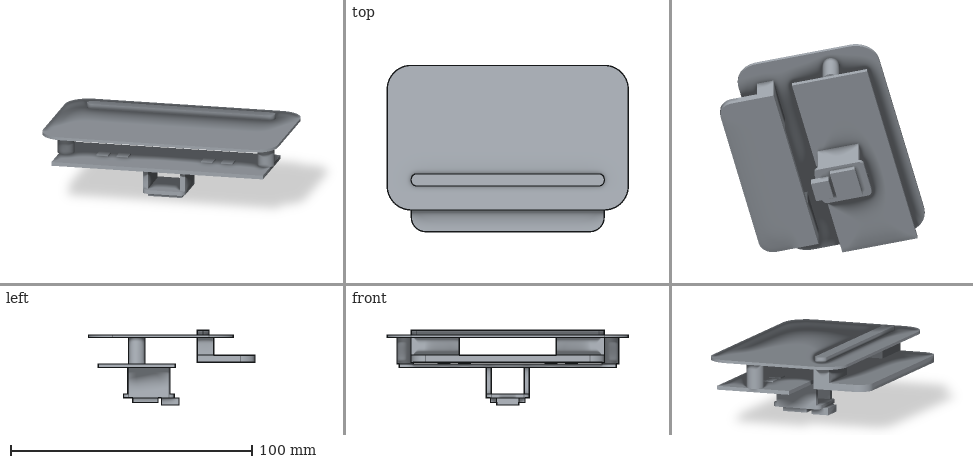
import cadquery as cq

PLATE_LENGTH = 100.0
PLATE_WIDTH = 60.0
PLATE_THICKNESS = 1.2
PLATE_CORNER_RADIUS = 10.0

FRONT_LENGTH = 80.0
FRONT_BACK_Y = -15.0
BAR_WIDTH = 5.0
BAR_HEIGHT = 2.0
BAR_END_RADIUS = 0.45 * BAR_WIDTH

BLOCK_LENGTH = 20.0
BLOCK_WIDTH = 7.0
BLOCK_HEIGHT = 7.2

SHELF_FRONT_Y = -39.0
SHELF_THICKNESS = 3.0
SHELF_CORNER_RADIUS = 6.0

POST_DIAMETER = 7.0
POST_HEIGHT = 10.8
POST_X = 42.5

BOARD_LENGTH = 90.0
BOARD_WIDTH = 32.0
BOARD_THICKNESS = 1.6
BOARD_Y = 10.0
PAD_LENGTH = 5.0
PAD_WIDTH = 5.0
PAD_HEIGHT = 0.5
PAD_X_POSITIONS = (18.0, 26.5)

MODULE_LENGTH = 21.1
MODULE_WIDTH = 18.0
MODULE_THICKNESS = 1.6
MODULE_CORNER_RADIUS = 2.2
MODULE_Y = 5.0
WALL_THICKNESS = 2.2
WALL_LENGTH = 17.6
WALL_HEIGHT = 10.9
CHIP_WIDTH = 14.4
CHIP_LENGTH = 10.6
CHIP_HEIGHT = 2.0
CHIP_Y = 6.4
SOCKET_WIDTH = 9.3
SOCKET_LENGTH = 7.4
SOCKET_HEIGHT = 3.0
SOCKET_OVERHANG = 2.0

BOARD_TOP_Z = -POST_HEIGHT
BOARD_BOTTOM_Z = BOARD_TOP_Z - BOARD_THICKNESS
MODULE_TOP_Z = BOARD_BOTTOM_Z - WALL_HEIGHT
MODULE_BOTTOM_Z = MODULE_TOP_Z - MODULE_THICKNESS


def block(x_size, y_size, height, x, y, bottom_z):
    """Box centred on (x, y) that stands on bottom_z."""
    box = cq.Workplane("XY").box(x_size, y_size, height, centered=(True, True, False))
    return box.translate((x, y, bottom_z))


def make_cover():
    """Rounded plate with two spacer blocks and two round posts on its underside."""
    cover = block(PLATE_LENGTH, PLATE_WIDTH, PLATE_THICKNESS, 0, 0, 0)
    cover = cover.edges("|Z").fillet(PLATE_CORNER_RADIUS)
    block_x = (FRONT_LENGTH - BLOCK_LENGTH) / 2
    block_y = FRONT_BACK_Y - BLOCK_WIDTH / 2
    for side in (-1, 1):
        spacer = block(BLOCK_LENGTH, BLOCK_WIDTH, BLOCK_HEIGHT, side * block_x, block_y, -BLOCK_HEIGHT)
        post = cq.Workplane("XY").center(side * POST_X, BOARD_Y).circle(POST_DIAMETER / 2)
        post = post.extrude(-POST_HEIGHT)
        cover = cover.union(spacer).union(post)
    return cover


def make_bar():
    """Long bar with rounded ends that lies on the cover plate."""
    bar = block(FRONT_LENGTH, BAR_WIDTH, BAR_HEIGHT, 0, FRONT_BACK_Y - BAR_WIDTH / 2, PLATE_THICKNESS)
    return bar.edges("|Z").fillet(BAR_END_RADIUS)


def make_shelf():
    """Flat shelf under the spacer blocks, rounded at its two front corners."""
    shelf_width = FRONT_BACK_Y - SHELF_FRONT_Y
    shelf_y = (FRONT_BACK_Y + SHELF_FRONT_Y) / 2
    shelf = block(FRONT_LENGTH, shelf_width, SHELF_THICKNESS, 0, shelf_y, -BLOCK_HEIGHT - SHELF_THICKNESS)
    return shelf.edges("|Z and <Y").fillet(SHELF_CORNER_RADIUS)


def make_circuit_board():
    """Rectangular circuit board with two pairs of pads on top, mirrored about X = 0."""
    board = block(BOARD_LENGTH, BOARD_WIDTH, BOARD_THICKNESS, 0, BOARD_Y, BOARD_BOTTOM_Z)
    for side in (-1, 1):
        for pad_x in PAD_X_POSITIONS:
            pad = block(PAD_LENGTH, PAD_WIDTH, PAD_HEIGHT, side * pad_x, BOARD_Y, BOARD_TOP_Z)
            board = board.union(pad)
    return board


def make_module():
    """Small rounded board hung from two header walls, with a chip and a socket on its underside."""
    full_height = MODULE_THICKNESS + WALL_HEIGHT
    module = block(MODULE_WIDTH, MODULE_LENGTH, full_height, 0, MODULE_Y, MODULE_BOTTOM_Z)
    module = module.edges("|Z").fillet(MODULE_CORNER_RADIUS)

    gap_width = MODULE_WIDTH - 2 * WALL_THICKNESS
    module = module.cut(block(gap_width, MODULE_LENGTH, WALL_HEIGHT, 0, MODULE_Y, MODULE_TOP_Z))
    end_length = (MODULE_LENGTH - WALL_LENGTH) / 2
    for side in (-1, 1):
        end_y = MODULE_Y + side * (WALL_LENGTH + end_length) / 2
        module = module.cut(block(MODULE_WIDTH, end_length, WALL_HEIGHT, 0, end_y, MODULE_TOP_Z))

    chip = block(CHIP_WIDTH, CHIP_LENGTH, CHIP_HEIGHT, 0, CHIP_Y, MODULE_BOTTOM_Z - CHIP_HEIGHT)
    socket_y = MODULE_Y - MODULE_LENGTH / 2 - SOCKET_OVERHANG + SOCKET_LENGTH / 2
    socket = block(SOCKET_WIDTH, SOCKET_LENGTH, SOCKET_HEIGHT, 0, socket_y, MODULE_BOTTOM_Z - SOCKET_HEIGHT)
    return module.union(chip).union(socket)


cover = make_cover()
bar = make_bar()
shelf = make_shelf()
circuit_board = make_circuit_board()
module = make_module()

result = cq.Compound.makeCompound(
    [cover.val(), bar.val(), shelf.val(), circuit_board.val(), module.val()]
)